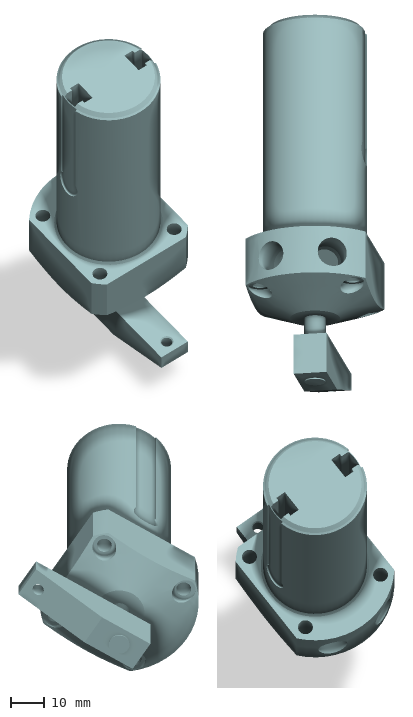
import cadquery as cq

total_height = 111.3
arm_bottom_z = 0.3
arm_top_z = 12.7
rod_step_z = 13.7
nose_z = 20.0
flange_rim_z = 26.7
flange_top_z = 41.4

barrel_radius = 15.6
core_radius = 15.0
top_chamfer = 1.1
lip_height = 0.3
collar_radius = 16.2
collar_height = collar_radius - barrel_radius

flange_radius = 23.8
flange_half_width = 18.2
flange_right_x = 18.6
nose_radius = 7.6

screw_offset = 14.0
screw_hole_diameter = 4.5
screw_head_diameter = 7.1

port_angle = 23.5
port_z = 33.4
port_radius = 4.5
port_tip_radius = 4.0
port_taper_start = 15.4
port_floor = 13.8

groove_width = 7.0
groove_end_radius = 4.2
groove_fillet = 0.5
groove_run_out = 3.3
front_groove_end_z = 71.5
back_groove_end_z = 56.5
pocket_mouth_width = 5.0
pocket_back_y = 8.7
pocket_shoulder_y = 11.8
pocket_wall_radius = 14.8

rod_radius = 3.2
rod_end_radius = 3.1

arm_left_x = -7.9
arm_right_x = 32.5
arm_width = 10.0
arm_tip_height = 5.0
arm_flat_end_x = 9.1
arm_hole_x = 28.6
arm_hole_diameter = 3.3
arm_hole_chamfer = 0.3
countersink_angle = 45


def revolve_profile(points):
    """Solid of revolution about Z from (radius, z) points."""
    return cq.Workplane("XZ").polyline(points).close().revolve(360, (0, 0), (0, 1))


def make_flange():
    """Round flange with a conical nose, cut flat on the +X, +Y and -Y sides."""
    disc = revolve_profile([
        (0, nose_z),
        (nose_radius, nose_z),
        (flange_radius, flange_rim_z),
        (flange_radius, flange_top_z),
        (0, flange_top_z),
    ])
    envelope = (
        cq.Workplane("XY", origin=(-flange_radius, 0, 0))
        .box(flange_radius + flange_right_x, 2 * flange_half_width, total_height, centered=(False, True, False))
    )
    return disc.intersect(envelope)


def make_barrel():
    """Barrel with a chamfered top and a small conical collar at the flange."""
    core_top_z = total_height - top_chamfer
    return revolve_profile([
        (0, flange_top_z),
        (collar_radius, flange_top_z),
        (barrel_radius, flange_top_z + collar_height),
        (barrel_radius, core_top_z - lip_height),
        (core_radius, core_top_z),
        (core_radius - top_chamfer, total_height),
        (0, total_height),
    ])


def make_rod():
    """Stepped rod that carries the arm."""
    thick = cq.Workplane("XY").workplane(offset=rod_step_z).circle(rod_radius).extrude(nose_z - rod_step_z)
    thin = cq.Workplane("XY").circle(rod_end_radius).extrude(rod_step_z)
    return thick.union(thin)


def make_screw_hole(x, y):
    """Through hole with a screw head recess opening into the conical nose."""
    hole = cq.Workplane("XY").center(x, y).circle(screw_hole_diameter / 2).extrude(total_height)
    recess = cq.Workplane("XY").center(x, y).circle(screw_head_diameter / 2).extrude(flange_rim_z)
    return hole.union(recess)


def make_port(angle):
    """Radial blind port in the round side of the flange, with a tapered inner end."""
    port = revolve_profile([
        (0, port_floor),
        (port_tip_radius, port_floor),
        (port_radius, port_taper_start),
        (port_radius, flange_radius + port_radius),
        (0, flange_radius + port_radius),
    ])
    return (
        port.rotate((0, 0, 0), (0, 1, 0), -90)
        .rotate((0, 0, 0), (0, 0, 1), angle)
        .translate((0, 0, port_z))
    )


def make_groove(end_z):
    """Keyhole groove on the -Y side, down to the core radius, with rounded floor edges."""
    slot_length = total_height + groove_run_out - end_z
    plane = cq.Workplane("XZ", origin=(0, -pocket_back_y, end_z))
    slot = plane.center(0, slot_length / 2).rect(groove_width, slot_length).extrude(barrel_radius)
    round_end = plane.circle(groove_end_radius).extrude(barrel_radius)
    core = cq.Workplane("XY").circle(core_radius).extrude(total_height + 2 * groove_run_out)
    groove = slot.union(round_end).cut(core)
    floor_centre = (0, -core_radius, end_z)
    floor = groove.faces(cq.selectors.NearestToPointSelector(floor_centre))
    return floor.edges().fillet(groove_fillet)


def make_pocket(end_z):
    """T-shaped pocket on the -Y side, open at the top, with a rounded bottom."""
    slot_length = total_height - end_z
    pocket_depth = barrel_radius - pocket_back_y
    plane = cq.Workplane("XZ", origin=(0, -pocket_back_y, end_z))
    slot = plane.center(0, slot_length / 2).rect(groove_width, slot_length).extrude(pocket_depth)
    outline = slot.union(plane.circle(groove_width / 2).extrude(pocket_depth))
    section = (
        cq.Workplane("XY")
        .rect(pocket_mouth_width, 2 * barrel_radius)
        .extrude(total_height)
        .union(cq.Workplane("XY").rect(groove_width, 2 * pocket_shoulder_y).extrude(total_height))
    )
    inside = cq.Workplane("XY").circle(pocket_wall_radius).extrude(total_height)
    return outline.intersect(section).intersect(inside)


def make_housing():
    """Flange, barrel and rod in one piece, with all holes, ports, grooves and pockets."""
    housing = make_flange().union(make_barrel()).union(make_rod())
    for x in (-screw_offset, screw_offset):
        for y in (-screw_offset, screw_offset):
            housing = housing.cut(make_screw_hole(x, y))
    for angle in (-port_angle, port_angle):
        housing = housing.cut(make_port(angle))
    for end_z, turn in ((front_groove_end_z, 0), (back_groove_end_z, 180)):
        for cutter in (make_groove(end_z), make_pocket(end_z)):
            housing = housing.cut(cutter.rotate((0, 0, 0), (0, 0, 1), turn))
    return housing


def make_arm():
    """Clamping arm with a tapered underside, a rod bore and a hole at the tip."""
    arm = (
        cq.Workplane("XZ")
        .moveTo(arm_left_x, arm_bottom_z)
        .lineTo(arm_flat_end_x, arm_bottom_z)
        .lineTo(arm_right_x, arm_top_z - arm_tip_height)
        .lineTo(arm_right_x, arm_top_z)
        .lineTo(arm_left_x, arm_top_z)
        .close()
        .extrude(arm_width / 2, both=True)
    )
    rod_bore = cq.Workplane("XY").circle(rod_end_radius).extrude(arm_top_z)
    tip_hole = cq.Workplane("XY").center(arm_hole_x, 0).circle(arm_hole_diameter / 2).extrude(arm_top_z)
    countersink = (
        cq.Workplane("XY", origin=(arm_hole_x, 0, arm_top_z))
        .circle(arm_hole_diameter / 2 + arm_hole_chamfer)
        .extrude(-arm_hole_chamfer, taper=countersink_angle)
    )
    return arm.cut(rod_bore).cut(tip_hole).cut(countersink)


housing = make_housing()
arm = make_arm()
result = cq.Compound.makeCompound([housing.val(), arm.val()])